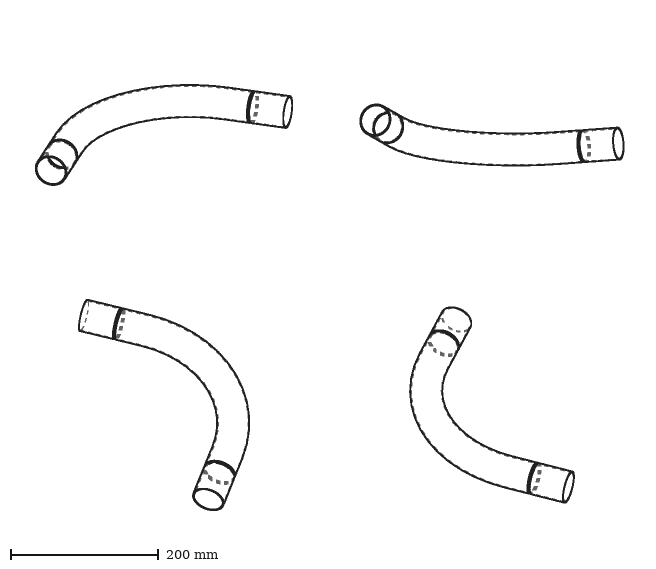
import cadquery as cq

overall_size = 279.0
outer_diameter = 43.8
wall_thickness = 1.7
straight_length = 87.0
groove_end_distance = 49.7
groove_width = 3.3
groove_depth = 0.8

outer_radius = outer_diameter / 2
inner_radius = outer_radius - wall_thickness
bend_radius = overall_size - straight_length - outer_radius


def bent_rod(radius):
    """Solid rod: straight leg along Y, quarter bend, straight leg along X.

    The bend is centred on the Z axis.
    """
    y_leg = (
        cq.Workplane("XZ")
        .center(-bend_radius, 0)
        .circle(radius)
        .extrude(straight_length)
    )
    bend = (
        cq.Workplane("XZ")
        .center(-bend_radius, 0)
        .circle(radius)
        .revolve(90, (bend_radius, 0, 0), (bend_radius, -1, 0))
    )
    x_leg = (
        cq.Workplane("YZ")
        .center(bend_radius, 0)
        .circle(radius)
        .extrude(straight_length)
    )
    return y_leg.union(bend).union(x_leg)


def v_grooved_rod(radius):
    """Bent rod with a V-section groove around each leg."""
    groove_y = groove_end_distance - straight_length
    half_width = groove_width / 2
    y_leg_ring = (
        cq.Workplane("XY")
        .center(-bend_radius, groove_y)
        .moveTo(radius - groove_depth, 0)
        .lineTo(radius, half_width)
        .lineTo(radius + groove_depth, half_width)
        .lineTo(radius + groove_depth, -half_width)
        .lineTo(radius, -half_width)
        .close()
        .revolve(360, (0, 0, 0), (0, 1, 0))
    )
    x_leg_ring = y_leg_ring.rotate((0, 0, 0), (-1, 1, 0), 180)
    return bent_rod(radius).cut(y_leg_ring).cut(x_leg_ring)


result = v_grooved_rod(outer_radius).cut(v_grooved_rod(inner_radius))